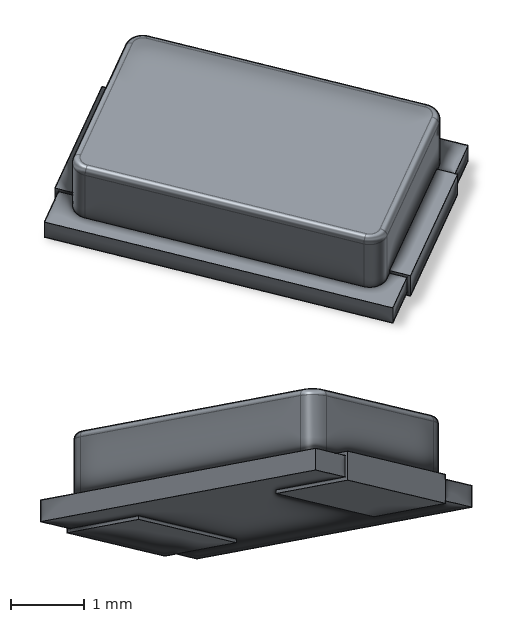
import cadquery as cq

overall_length = 5.1
overall_width = 3.2
overall_height = 1.3

terminal_thickness = 0.05
terminal_width = 2.0
terminal_foot_length = 1.3

base_length = overall_length - 2 * terminal_thickness
base_thickness = 0.3
base_bottom = terminal_thickness
base_top = base_bottom + base_thickness

cover_length = 4.5
cover_width = 2.7
cover_height = overall_height - base_top
cover_corner_radius = 0.25
cover_edge_radius = 0.1

terminal_flange_length = (overall_length - cover_length) / 2
terminal_height = base_thickness + 2 * terminal_thickness


def make_body():
    """Base plate with the rounded cover block on top."""
    base = (
        cq.Workplane("XY")
        .workplane(offset=base_bottom)
        .rect(base_length, overall_width)
        .extrude(base_thickness)
    )
    cover = (
        cq.Workplane("XY")
        .workplane(offset=base_top)
        .rect(cover_length, cover_width)
        .extrude(cover_height)
        .edges("|Z")
        .fillet(cover_corner_radius)
        .faces(">Z")
        .edges()
        .fillet(cover_edge_radius)
    )
    return base.union(cover)


def make_terminal(side):
    """C-shaped terminal at one end; side is -1 for the -X end and +1 for the +X end."""
    outer_x = side * overall_length / 2
    inner_x = side * base_length / 2
    flange_x = outer_x - side * terminal_flange_length
    foot_x = outer_x - side * terminal_foot_length
    profile = [
        (foot_x, 0),
        (outer_x, 0),
        (outer_x, terminal_height),
        (flange_x, terminal_height),
        (flange_x, base_top),
        (inner_x, base_top),
        (inner_x, base_bottom),
        (foot_x, base_bottom),
    ]
    return (
        cq.Workplane("XZ")
        .polyline(profile)
        .close()
        .extrude(terminal_width / 2, both=True)
    )


body = make_body()
terminals = [make_terminal(side) for side in (-1, 1)]

result = cq.Compound.makeCompound([body.val(), *[terminal.val() for terminal in terminals]])